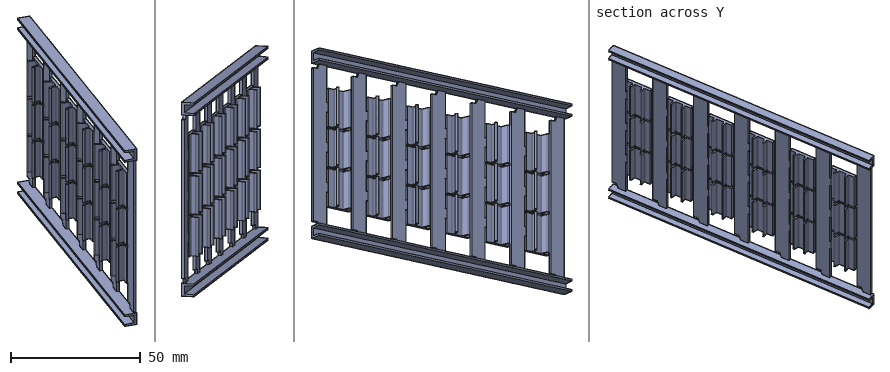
import cadquery as cq
import math

frame_length = 119.2
frame_height = 76.0
frame_depth = 5.0
back_y = frame_depth / 2

rail_height = 5.0
flange_root = 1.01
flange_tip = 0.77
sheet = 1.2

bar_count = 7
bar_span = 118.4
bar_width = 6.3
bar_height = frame_height - 2 * rail_height
bar_pitch = (bar_span - bar_width) / (bar_count - 1)
notch_height = 1.9
notch_width_inner = 2.0
notch_width_outer = 2.9

contacts_per_stack = 3
contact_pitch = 16.2
contact_length = 15.5
plate_width = 10.6
plate_thickness = 1.3
tab_height = 3.9
tab_width = 0.65
contact_center = bar_width + tab_width + plate_width / 2

leg_lean = math.radians(15)
bead_radius = 0.54
bead_x = 2.9
bead_offset = 0.18
leg_outer_x = bead_x - bead_offset
leg_depth = 4.6
bead_depth = leg_depth - bead_radius
neck_radius = 0.4
root_fillet = 0.3
leg_setback = 0.2

bridge_width = 4.3


def box(x_min, x_max, depth_min, depth_max, z_min, z_max):
    """Block with depth measured from the back of the frame towards -Y."""
    size = (x_max - x_min, depth_max - depth_min, z_max - z_min)
    corner = (x_min, back_y - depth_max, z_min)
    return cq.Workplane("XY").box(*size, centered=False).translate(corner)


def make_rail(z_center):
    half = rail_height / 2
    web_front = back_y - sheet
    tip_y = back_y - frame_depth
    outline = [
        (back_y, -half),
        (tip_y, -half),
        (tip_y, -half + flange_tip),
        (web_front, -half + flange_root),
        (web_front, half - flange_root),
        (tip_y, half - flange_tip),
        (tip_y, half),
        (back_y, half),
    ]
    rail = cq.Workplane("YZ", origin=(-frame_length / 2, 0, z_center)).polyline(outline).close()
    return rail.extrude(frame_length)


def make_bar(left):
    top = bar_height / 2
    shoulder = top - notch_height
    outline = [
        (left, -shoulder),
        (left + notch_width_inner, -shoulder),
        (left + notch_width_outer, -top),
        (left + bar_width, -top),
        (left + bar_width, top),
        (left + notch_width_outer, top),
        (left + notch_width_inner, shoulder),
        (left, shoulder),
    ]
    return cq.Workplane("XZ", origin=(0, back_y, 0)).polyline(outline).close().extrude(sheet)


def make_leg(z_min, z_max):
    """Right-hand leg of a contact centred on X = 0; its profile is drawn in (X, depth)."""
    neck_x = leg_outer_x + neck_radius
    reach = neck_radius + bead_radius
    neck_angle = math.acos((neck_x - bead_x) / reach)
    neck_depth = bead_depth - reach * math.sin(neck_angle)
    neck_end = (
        neck_x - neck_radius * math.cos(neck_angle),
        neck_depth + neck_radius * math.sin(neck_angle),
    )
    neck_middle = (
        neck_x - neck_radius * math.cos(neck_angle / 2),
        neck_depth + neck_radius * math.sin(neck_angle / 2),
    )
    bead_end = (
        bead_x - bead_radius * math.cos(leg_lean),
        bead_depth + bead_radius * math.sin(leg_lean),
    )
    bead_middle = (
        bead_x + bead_radius * math.cos(math.pi / 4),
        bead_depth + bead_radius * math.sin(math.pi / 4),
    )
    wall_foot = bead_end[0] - (bead_end[1] - plate_thickness) * math.tan(leg_lean)
    inner_setback = root_fillet * math.tan((math.pi / 2 - leg_lean) / 2)
    inner_top = (
        wall_foot + inner_setback * math.sin(leg_lean),
        plate_thickness + inner_setback * math.cos(leg_lean),
    )
    profile = (
        cq.Workplane("XY")
        .moveTo(wall_foot - inner_setback, 0)
        .lineTo(leg_outer_x + root_fillet, 0)
        .lineTo(leg_outer_x + root_fillet, plate_thickness)
        .radiusArc((leg_outer_x, plate_thickness + root_fillet), root_fillet)
        .lineTo(leg_outer_x, neck_depth)
        .threePointArc(neck_middle, neck_end)
        .threePointArc(bead_middle, bead_end)
        .lineTo(*inner_top)
        .radiusArc((wall_foot - inner_setback, plate_thickness), root_fillet)
        .close()
    )
    leg = profile.extrude(z_max - z_min)
    return leg.mirror("XZ").translate((0, back_y, z_min))


def make_stack():
    """Contacts, bridges and tabs of one gap, centred on X = 0."""
    half_width = plate_width / 2
    end_contact = (contacts_per_stack - 1) / 2
    stack = box(-bridge_width / 2, bridge_width / 2, 0, sheet,
                -end_contact * contact_pitch, end_contact * contact_pitch)

    for index in range(contacts_per_stack):
        z_center = (index - end_contact) * contact_pitch
        z_min = z_center - contact_length / 2
        z_max = z_center + contact_length / 2
        leg_min = z_min if index == 0 else z_min + leg_setback
        leg_max = z_max if index == contacts_per_stack - 1 else z_max - leg_setback
        leg = make_leg(leg_min, leg_max)
        stack = stack.union(box(-half_width, half_width, 0, plate_thickness, z_min, z_max))
        stack = stack.union(leg).union(leg.mirror("YZ"))
        tab = box(-half_width - tab_width, -half_width, 0, sheet,
                  z_center - tab_height / 2, z_center + tab_height / 2)
        stack = stack.union(tab)
    return stack


rail_z = (frame_height - rail_height) / 2
result = make_rail(rail_z).union(make_rail(-rail_z))
stack = make_stack()
for index in range(bar_count):
    bar_left = -frame_length / 2 + index * bar_pitch
    result = result.union(make_bar(bar_left))
    if index < bar_count - 1:
        result = result.union(stack.translate((bar_left + contact_center, 0, 0)))